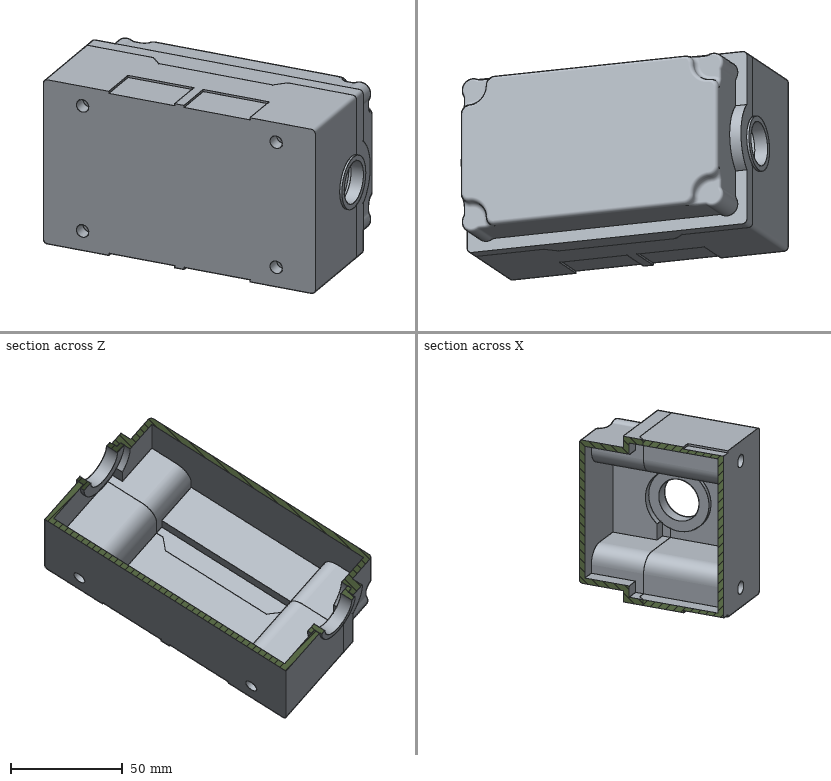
import cadquery as cq
import math

total_length = 137.0
total_depth = 72.0
box_length = 134.8
box_height = 80.0
box_depth = 50.0
box_corner_radius = 2.0
wall = 3.0

seam_depth = 43.0
seam_step = 5.1
tongue_half_length = 28.2

post_radius = 5.1
post_overhang = 1.0
post_fillet = 2.0
hood_length = 124.0
hood_height = 69.2
hood_corner_radius = post_radius - post_overhang
notch_depth = 4.0
notch_radius = 8.0
notch_floor_fillet = 2.0
hood_edge_fillet = 1.8
post_edge_fillet = 1.3
notch_clearance = 6.8
rim_margin = 0.7
tolerance = 0.01

gland_depth = 37.8
gland_diameter = 25.0
gland_bore = 20.0
gland_flange_diameter = 30.0
gland_flange_thickness = 2.0
gland_boss_radius = 19.5

panel_length = 32.6
panel_depth = 20.0
panel_gap = 4.7
panel_recess = 1.0
hole_diameter = 6.0
hole_length = 6.8
hole_spacing_x = 95.9
hole_spacing_z = 61.0

block_inner_x = 37.0
block_inner_z = 19.6
block_corner_radius = 8.0

box_end = box_length / 2
hood_end = hood_length / 2
hood_top = hood_height / 2
post_x = hood_end - hood_corner_radius
post_z = hood_top - hood_corner_radius
notch_floor = total_depth - notch_depth
gland_inner_end = box_end - wall - gland_flange_thickness
ENDS = (-1, 1)
CORNERS = [(x, z) for x in ENDS for z in ENDS]


def block(length, height, y_low, y_high):
    """Box centred on the Y axis between two depths."""
    return cq.Workplane("XY").box(length, y_high - y_low, height).translate((0, (y_low + y_high) / 2, 0))


def cylinder_y(radius, x, z, y_low, y_high):
    """Cylinder along Y between two depths."""
    axis = cq.Vector(0, 1, 0)
    return cq.Workplane(cq.Solid.makeCylinder(radius, y_high - y_low, cq.Vector(x, y_low, z), axis))


def gland_cylinder(radius, side, x_inner, x_outer):
    """Cylinder on the gland axis between two distances from the middle of the box."""
    start = cq.Vector(side * x_inner, gland_depth, 0)
    return cq.Workplane(cq.Solid.makeCylinder(radius, x_outer - x_inner, start, cq.Vector(side, 0, 0)))


def to_corner(solid, x_side, z_side):
    """Mirror a solid from the +X +Z corner into another corner."""
    if x_side < 0:
        solid = solid.mirror("YZ")
    if z_side < 0:
        solid = solid.mirror("XY")
    return solid


def lid_side_of_seam():
    """Everything beyond the seam, whose tongue dips towards the mounting face."""
    tongue_depth = seam_depth - seam_step
    tongue_top = tongue_half_length + seam_step
    return (
        cq.Workplane("XY")
        .moveTo(-total_length, seam_depth)
        .lineTo(-tongue_top, seam_depth)
        .lineTo(-tongue_half_length, tongue_depth)
        .lineTo(tongue_half_length, tongue_depth)
        .lineTo(tongue_top, seam_depth)
        .lineTo(total_length, seam_depth)
        .lineTo(total_length, total_depth)
        .lineTo(-total_length, total_depth)
        .close()
        .extrude(box_height, both=True)
    )


def cavity():
    """Inner space of the closed box, leaving the corner blocks standing."""
    lower = block(box_length - 2 * wall, box_height - 2 * wall, wall, box_depth - wall)
    upper = block(hood_length - 2 * wall, hood_height - 2 * wall, wall, total_depth - wall)
    space = lower.union(upper)
    for x_side, z_side in CORNERS:
        corner = (
            cq.Workplane("XY")
            .box(box_length, total_depth, box_height, centered=False)
            .edges("|Y and <X and <Z")
            .fillet(block_corner_radius)
            .translate((block_inner_x, 0, block_inner_z))
        )
        space = space.cut(to_corner(corner, x_side, z_side))
    return space


def gland_openings():
    """Hole through each end wall and the wider clearance for the gland flange behind it."""
    openings = cq.Workplane("XY")
    for side in ENDS:
        openings = openings.union(gland_cylinder(gland_diameter / 2, side, gland_inner_end, box_end))
        openings = openings.union(
            gland_cylinder(gland_flange_diameter / 2, side, hood_end - wall, box_end - wall)
        )
    return openings


def outer_box():
    return block(box_length, box_height, 0, box_depth).edges("|Y").fillet(box_corner_radius)


def corner_notch():
    """Tool for the +X +Z notch: concave around the post, flaring tangentially into both walls."""
    flare = hood_corner_radius
    reach = flare + notch_radius
    far = reach + flare
    flare_middle = flare * (1 - math.sqrt(0.5))
    notch_middle = flare + notch_radius * math.sqrt(0.5)

    def inward(from_end, from_top):
        return (hood_end - from_end, hood_top - from_top)

    return (
        cq.Workplane("XZ", origin=(0, total_depth + notch_clearance, 0))
        .moveTo(*inward(0, far))
        .threePointArc(inward(flare_middle, reach + flare_middle), inward(flare, reach))
        .threePointArc(inward(notch_middle, notch_middle), inward(reach, flare))
        .threePointArc(inward(reach + flare_middle, flare_middle), inward(far, 0))
        .lineTo(*inward(far, -notch_clearance))
        .lineTo(*inward(-notch_clearance, -notch_clearance))
        .lineTo(*inward(-notch_clearance, far))
        .close()
        .extrude(notch_depth + notch_clearance)
    )


def cut_notches(body, notch):
    for x_side, z_side in CORNERS:
        body = body.cut(to_corner(notch, x_side, z_side))
    return body


def is_notch_rim(edge):
    """True for an outer edge that lies on a notch floor or rises from it."""
    middle = edge.positionAt(0.5)
    starts_on_floor = abs(edge.BoundingBox().ymin - notch_floor) < tolerance
    is_outside = abs(middle.x) > hood_end - rim_margin or abs(middle.z) > hood_top - rim_margin
    return starts_on_floor and is_outside


def hood():
    """Raised part with its corner posts, filleted notches and rounded top edge."""
    body = block(hood_length, hood_height, seam_depth, total_depth).edges("|Y").fillet(hood_corner_radius)
    for x_side, z_side in CORNERS:
        post = cylinder_y(post_radius, x_side * post_x, z_side * post_z, seam_depth, total_depth)
        body = body.union(post)
    body = body.edges("|Y").fillet(post_fillet)

    fillet_top = notch_floor + notch_floor_fillet
    crown = cut_notches(body, corner_notch()).faces(">Y").edges().fillet(hood_edge_fillet)
    crown = crown.intersect(block(total_length, box_height, fillet_top, total_depth))
    filleted_notch = corner_notch().faces("<Y").edges("%CIRCLE").fillet(notch_floor_fillet)
    lower = cut_notches(body, filleted_notch)
    lower = lower.edges().filter(is_notch_rim).fillet(post_edge_fillet)
    lower = lower.intersect(block(total_length, box_height, seam_depth, fillet_top))
    return lower.union(crown)


def enclosure():
    body = outer_box().union(hood())
    for side in ENDS:
        boss = gland_cylinder(gland_boss_radius, side, hood_end - wall, box_end)
        body = body.union(boss)
    return body.cut(cavity()).cut(gland_openings())


def panel_recesses():
    """Two shallow panels on the top face and two on the bottom face, open to the mounting face."""
    recesses = cq.Workplane("XY")
    panel_x = (panel_length + panel_gap) / 2
    panel_z = (box_height - panel_recess) / 2
    for x_side, z_side in CORNERS:
        panel = block(panel_length, panel_recess, 0, panel_depth)
        recesses = recesses.union(panel.translate((x_side * panel_x, 0, z_side * panel_z)))
    return recesses


def mounting_holes():
    holes = cq.Workplane("XY")
    for x_side, z_side in CORNERS:
        x = x_side * hole_spacing_x / 2
        z = z_side * hole_spacing_z / 2
        holes = holes.union(cylinder_y(hole_diameter / 2, x, z, 0, hole_length))
    return holes


def make_base(shell):
    return shell.cut(lid_side_of_seam()).cut(panel_recesses()).cut(mounting_holes())


def make_lid(shell):
    return shell.intersect(lid_side_of_seam())


def make_gland(side):
    """Bored sleeve that stands out of the end wall, with a flange behind the wall."""
    sleeve = gland_cylinder(gland_diameter / 2, side, gland_inner_end, total_length / 2)
    flange = gland_cylinder(gland_flange_diameter / 2, side, gland_inner_end, box_end - wall)
    bore = gland_cylinder(gland_bore / 2, side, gland_inner_end, total_length / 2)
    return sleeve.union(flange).cut(bore)


shell = enclosure()
base = make_base(shell)
lid = make_lid(shell)
glands = [make_gland(side) for side in ENDS]
result = cq.Compound.makeCompound([body.solids().val() for body in (base, lid, *glands)])